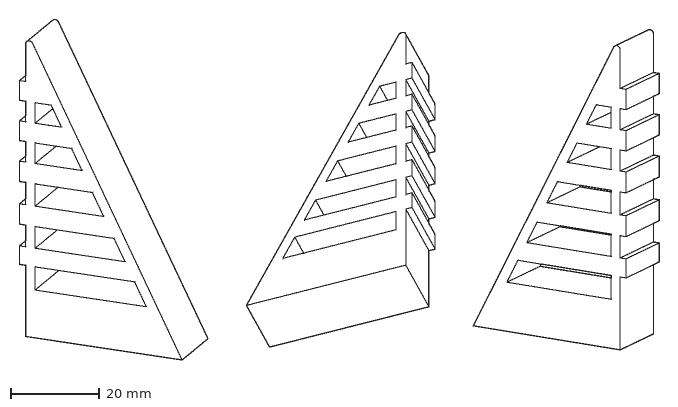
import cadquery as cq
import math

height = 71.9
depth = 15.0
overall_length = 40.2
wall_x = 1.5
slot_x = 3.9
rail_width = 2.5
tip_radius = 0.9

slot_levels = [(11.65, 17.25), (21.8, 27.0), (32.0, 37.4), (42.35, 47.3), (52.1, 57.1)]
top_tooth_top = 61.9

tooth_bottoms = [top for _, top in slot_levels]
tooth_tops = [bottom for bottom, _ in slot_levels[1:]] + [top_tooth_top]

tip_x = wall_x + tip_radius
tip_z = height - tip_radius
toe_run = overall_length - tip_x
toe_distance = math.hypot(toe_run, tip_z)
normal_angle = math.acos(tip_radius / toe_distance) - math.atan2(tip_z, toe_run)
normal_x = math.cos(normal_angle)
normal_z = math.sin(normal_angle)


def rail_inner_x(z):
    """X of the inner face of the sloping rail at height z."""
    return overall_length - (z * normal_z + rail_width) / normal_x


def make_body():
    """Wedge with a round tip tangent to its wall and slope."""
    return (
        cq.Workplane("XZ")
        .moveTo(wall_x, 0)
        .lineTo(overall_length, 0)
        .lineTo(tip_x + tip_radius * normal_x, tip_z + tip_radius * normal_z)
        .threePointArc((tip_x, height), (wall_x, tip_z))
        .close()
        .extrude(-depth)
    )


def make_tooth(bottom, top):
    """Rectangular tooth, carried into the back wall to join it."""
    return cq.Workplane("XY").box(slot_x, depth, top - bottom, centered=False).translate((0, 0, bottom))


def make_slot(bottom, top):
    """Through slot whose far end follows the slope."""
    corners = [
        (slot_x, bottom),
        (rail_inner_x(bottom), bottom),
        (rail_inner_x(top), top),
        (slot_x, top),
    ]
    return cq.Workplane("XZ").polyline(corners).close().extrude(-depth)


result = make_body()
for bottom, top in zip(tooth_bottoms, tooth_tops):
    result = result.union(make_tooth(bottom, top))
for bottom, top in slot_levels:
    result = result.cut(make_slot(bottom, top))